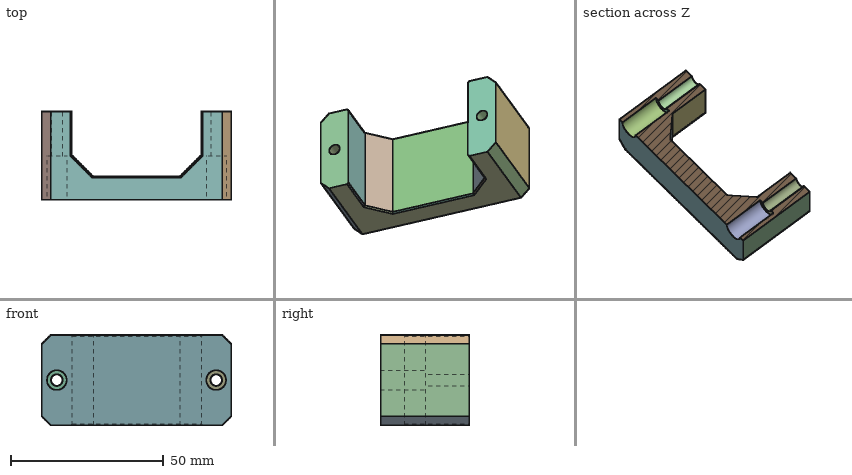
import cadquery as cq

length = 62.25
depth = 29.1
height = 29.75
corner_chamfer = 3.0

wall = 9.9
floor_thickness = 7.7
channel_corner_chamfer = 7.0
channel_edge_chamfer = 0.5
channel_width = length - 2 * wall
channel_depth = depth - floor_thickness

hole_diameter = 3.75
counterbore_diameter = 6.5
counterbore_depth = depth / 2
hole_spacing = length - wall


def make_block():
    """Block with its front face at Y = 0 and its four long Y edges chamfered."""
    block = cq.Workplane("XY").box(length, depth, height, centered=(True, False, True))
    return block.edges("|Y").chamfer(corner_chamfer)


def channel_outline(offset):
    """Half-octagonal channel outline, moved outwards into the walls and floor by offset."""
    corner = channel_corner_chamfer + offset * (2 - 2 ** 0.5)
    half_width = channel_width / 2 + offset
    bottom = floor_thickness - offset
    return [
        (-half_width, depth),
        (-half_width, bottom + corner),
        (-half_width + corner, bottom),
        (half_width - corner, bottom),
        (half_width, bottom + corner),
        (half_width, depth),
    ]


def make_channel():
    """Channel cutter that widens at 45 degrees at the top and bottom faces."""
    channel = (
        cq.Workplane("XY", origin=(0, 0, -height / 2))
        .polyline(channel_outline(0))
        .close()
        .extrude(height)
    )
    flare = (
        cq.Workplane("XY", origin=(0, 0, height / 2 - channel_edge_chamfer))
        .polyline(channel_outline(0))
        .close()
        .workplane(offset=channel_edge_chamfer)
        .polyline(channel_outline(channel_edge_chamfer))
        .close()
        .loft(ruled=True)
    )
    return channel.union(flare).union(flare.mirror("XY"))


def drill_holes(body):
    """Counterbored through holes, entered from the front face."""
    return (
        body.faces("<Y")
        .workplane(centerOption="CenterOfBoundBox")
        .rarray(hole_spacing, 0.6, 2, 1)
        .cboreHole(hole_diameter, counterbore_diameter, counterbore_depth)
    )


result = drill_holes(make_block().cut(make_channel()))